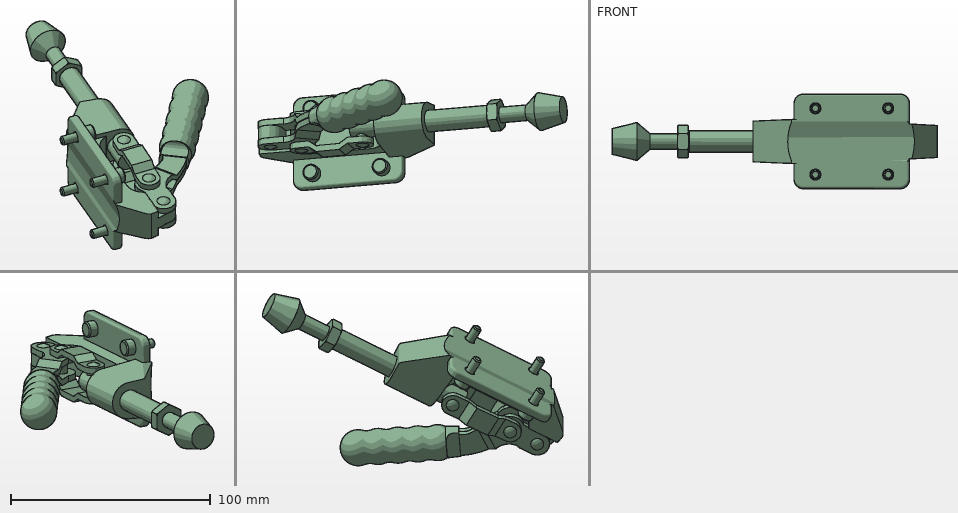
import cadquery as cq
import math


PAD_FACE_RADIUS = 6.5
PAD_RADIUS = 9.6
PAD_RIM_X = 12.4
PAD_END_X = 18.9
STUD_RADIUS = 8.0 / 2
STUD_END_X = 52.0
NUT_START_X = 32.7
NUT_THICKNESS = 5.4
NUT_ACROSS_CORNERS = 16.5
NUT_CORNER_CHAMFER = 0.5
PLUNGER_RADIUS = 10.9 / 2
PLUNGER_START_X = NUT_START_X + NUT_THICKNESS
PLUNGER_CHAMFER = 0.5

PLUNGER_PIVOT = (105.6, 0.0)
LINK_PIVOT = (138.2, -0.8)
FRAME_PIVOT = (154.1, 0.0)
PIN_RADIUS = 3.3
PIN_DOME_HEIGHT = 1.1

PLATE = 3.1
LEVER_GAP = 0.3
LEVER_INNER_Z = LEVER_GAP / 2
FORK_INNER_Z = 3.3
FORK_OUTER_Z = FORK_INNER_Z + PLATE
LINK_EYE_RADIUS = 5.5
LINK_EYE_Z = FORK_OUTER_Z
LINK_MIDDLE_Z = 9.1
LINK_BENDS_X = (112.0, 116.4, 128.5, 132.5)

BASE_Y = -24.5
FLANGE_THICKNESS = 4.5
FLANGE_TOP_Y = BASE_Y + FLANGE_THICKNESS
FLANGE_START_X = 91.0
FLANGE_LENGTH = 58.0
FLANGE_WIDTH = 47.5
FLANGE_CORNER_RADIUS = 4.9
FLANGE_EDGE_RADIUS = 1.1
BOSS_RADIUS = 19.0 / 2
BOSS_SIDE_SLOPE = 0.08
BOSS_FRONT_TOP_X = 71.6
BOSS_FRONT_X = 70.3
BOSS_FRONT_Y = -8.5
BOSS_FRONT_EDGE_RADIUS = 2.0
BOSS_REAR_TOP_X = 96.8
BOSS_REAR_X = 98.1
RAMP_FOOT_X = 89.8
RAMP_FOOT_HALF_WIDTH = 10.9
BEAM_BASE_HALF_WIDTH = 8.8
BEAM_SIDE_SLOPE = 0.058
SHELF_Y = -6.3
SLOT_FLOOR_Y = -12.7
SLOT_END_X = 145.7
SLOT_CORNER_RADIUS = 8.6
CHANNEL_HALF_WIDTH = 10.0
CHANNEL_DEPTH = 1.6

LUG_RADIUS = 6.0
TAIL_SHOULDER = (162.1, SHELF_Y)
TAIL_TIP = (162.8, -10.4)
TAIL_NOSE = (162.3, -12.0)
TAIL_UNDERSIDE = (161.3, -13.3)
TAIL_FOOT_X = 149.5

SCREW_HOLE_RADIUS = 5.5 / 2
SCREW_RADIUS = 4.5 / 2
SCREW_HEAD_RADIUS = 8.0 / 2
SCREW_HEAD_HEIGHT = 4.9
SCREW_HEAD_CHAMFER = 0.7
SCREW_TIP_Y = -32.5
SCREW_TIP_CHAMFER = 0.7
SCREW_MIDDLE_X = FLANGE_START_X + FLANGE_LENGTH / 2
SCREW_SPACING_X = 36.5
SCREW_SPACING_Z = 33.2

GRIP_BALL_CENTRE = (78.6, 48.5)
GRIP_ANGLE = 33.4
GRIP_RADIUS = 9.1
GRIP_RIBS = 4
LAST_RIB_DISTANCE = 40.0
GRIP_PITCH = LAST_RIB_DISTANCE / GRIP_RIBS
GROOVE_WIDTH = 3.7
GROOVE_RADIUS = 8.3
LAST_RIB_HALF_LENGTH = 4.2
LAST_RIB_EDGE_RADIUS = 8.0
GRIP_END = 51.0
GRIP_END_RADIUS = 7.6
GRIP_FLAT_Z = 3.7
GRIP_FLAT_START = 48.3
GRIP_RELIEF_START = 44.5
GRIP_RELIEF_Z = 7.5

SPREAD_ANGLE = -55.0
SPREAD_START = (124.8, 8.6)
SPREAD_LENGTH = 3.9
LEVER_BULGE_RADIUS = 7.2
LEVER_EYE_RADIUS = 6.2

LEVER_START = 47.2
LEVER_UPPER_HALF = 6.5
LEVER_LOWER_HALF = 5.7
LEVER_BACK_ARC = (130.4, 21.3)
LEVER_BACK = (137.4, 12.4)
LEVER_NECK_ARC = (140.6, 7.6)
LEVER_NECK = (145.5, 5.7)
LEVER_FLAT_START_X = 147.6
LEVER_HEEL = (122.0, 13.0)
LEVER_HEEL_ARC = (120.5, 14.5)

FAR = 97.6


def cylinder_x(radius, start, end):
    return cq.Workplane("YZ", origin=(start, 0, 0)).circle(radius).extrude(end - start)


def pin_hole(centre, half_length):
    return cq.Workplane("XY").center(*centre).circle(PIN_RADIUS).extrude(half_length, both=True)


def pivot_pin(centre, half_length):
    """Pin along Z with a shallow dome on each end."""
    top = half_length + PIN_DOME_HEIGHT
    dome_radius = (PIN_RADIUS**2 + PIN_DOME_HEIGHT**2) / (2 * PIN_DOME_HEIGHT)
    half_angle = math.asin(PIN_RADIUS / dome_radius) / 2
    arc_x = dome_radius * math.sin(half_angle)
    arc_z = top - dome_radius * (1 - math.cos(half_angle))
    return (
        cq.Workplane("XZ", origin=(*centre, 0))
        .moveTo(0, -top)
        .threePointArc((arc_x, -arc_z), (PIN_RADIUS, -half_length))
        .lineTo(PIN_RADIUS, half_length)
        .threePointArc((arc_x, arc_z), (0, top))
        .close()
        .revolve(360, (0, 0, 0), (0, 1, 0))
    )


def make_spindle():
    return (
        cq.Workplane("XY")
        .polyline([
            (0, 0),
            (0, PAD_FACE_RADIUS),
            (PAD_RIM_X, PAD_RADIUS),
            (PAD_END_X, STUD_RADIUS),
            (STUD_END_X, STUD_RADIUS),
            (STUD_END_X, 0),
        ])
        .close()
        .revolve(360, (0, 0, 0), (1, 0, 0))
    )


def make_nut():
    end = NUT_START_X + NUT_THICKNESS
    hexagon = (
        cq.Workplane("YZ", origin=(NUT_START_X, 0, 0))
        .transformed(rotate=(0, 0, 90))
        .polygon(6, NUT_ACROSS_CORNERS)
        .extrude(NUT_THICKNESS)
    )
    turned_blank = cylinder_x(NUT_ACROSS_CORNERS / 2, NUT_START_X, end).edges().chamfer(NUT_CORNER_CHAMFER)
    return hexagon.intersect(turned_blank).cut(cylinder_x(STUD_RADIUS, NUT_START_X, end))


def make_plunger():
    pivot_x = PLUNGER_PIVOT[0]
    rod = cylinder_x(PLUNGER_RADIUS, PLUNGER_START_X, pivot_x + PLUNGER_RADIUS)
    rod = rod.faces("<X").chamfer(PLUNGER_CHAMFER)
    stud_hole = cylinder_x(STUD_RADIUS, PLUNGER_START_X, STUD_END_X)
    return rod.cut(stud_hole).cut(pin_hole(PLUNGER_PIVOT, PLUNGER_RADIUS))


def make_screw(x, z):
    head_top = FLANGE_TOP_Y + SCREW_HEAD_HEIGHT
    return (
        cq.Workplane("XY")
        .polyline([
            (0, head_top),
            (SCREW_HEAD_RADIUS - SCREW_HEAD_CHAMFER, head_top),
            (SCREW_HEAD_RADIUS, head_top - SCREW_HEAD_CHAMFER),
            (SCREW_HEAD_RADIUS, FLANGE_TOP_Y),
            (SCREW_RADIUS, FLANGE_TOP_Y),
            (SCREW_RADIUS, SCREW_TIP_Y + SCREW_TIP_CHAMFER),
            (SCREW_RADIUS - SCREW_TIP_CHAMFER, SCREW_TIP_Y),
            (0, SCREW_TIP_Y),
        ])
        .close()
        .revolve(360, (0, 0, 0), (0, 1, 0))
        .translate((x, 0, z))
    )


def screw_places():
    return [
        (SCREW_MIDDLE_X + side_x * SCREW_SPACING_X / 2, side_z * SCREW_SPACING_Z / 2)
        for side_x in (-1, 1)
        for side_z in (-1, 1)
    ]


def make_boss():
    """Nose of the frame: round over the plunger, with drafted sides and a ramp underneath."""
    outline = (
        cq.Workplane("XY")
        .polyline([
            (BOSS_FRONT_TOP_X, BOSS_RADIUS),
            (BOSS_FRONT_X, BOSS_FRONT_Y),
            (RAMP_FOOT_X, BASE_Y),
            (BOSS_REAR_X, BASE_Y),
            (BOSS_REAR_X, FLANGE_TOP_Y),
            (BOSS_REAR_TOP_X, BOSS_RADIUS),
        ])
        .close()
        .extrude(FAR, both=True)
        .edges(cq.selectors.NearestToPointSelector((BOSS_FRONT_X, BOSS_FRONT_Y, 0)))
        .fillet(BOSS_FRONT_EDGE_RADIUS)
    )
    slope_angle = math.atan(BOSS_SIDE_SLOPE)
    tangent_y = BOSS_RADIUS * math.sin(slope_angle)
    tangent_z = BOSS_RADIUS * math.cos(slope_angle)
    base_z = tangent_z + BOSS_SIDE_SLOPE * (tangent_y - BASE_Y)
    section = (
        cq.Workplane("YZ")
        .moveTo(BASE_Y, -base_z)
        .lineTo(tangent_y, -tangent_z)
        .threePointArc((BOSS_RADIUS, 0), (tangent_y, tangent_z))
        .lineTo(BASE_Y, base_z)
        .close()
        .extrude(2 * FAR)
    )
    cheek_cut = make_cheek_cut(tangent_z + BOSS_SIDE_SLOPE * tangent_y)
    return section.intersect(outline).cut(cheek_cut).cut(cheek_cut.mirror("XY"))


def make_cheek_cut(axis_half_width):
    """Cutter that flattens the lower front corner of a boss side, down to the ramp foot."""

    def boss_side_point(x, y):
        return cq.Vector(x, y, axis_half_width - BOSS_SIDE_SLOPE * y)

    front = boss_side_point(BOSS_FRONT_X, BOSS_FRONT_Y)
    rear = boss_side_point(FLANGE_START_X, FLANGE_TOP_Y)
    foot = cq.Vector(RAMP_FOOT_X, BASE_Y, RAMP_FOOT_HALF_WIDTH)
    edge = rear - front
    plane = cq.Plane(origin=front, xDir=edge, normal=(foot - front).cross(edge))
    return cq.Workplane(plane).rect(FAR, FAR).extrude(FAR)


def make_beam():
    """Drafted bar along the base that rises into the tail, with a rounded slot above it."""
    slot_depth = SHELF_Y - SLOT_FLOOR_Y
    corner_run = math.sqrt(SLOT_CORNER_RADIUS**2 - (SLOT_CORNER_RADIUS - slot_depth) ** 2)
    outline = (
        cq.Workplane("XY")
        .moveTo(RAMP_FOOT_X, BASE_Y)
        .lineTo(TAIL_FOOT_X, BASE_Y)
        .lineTo(*TAIL_UNDERSIDE)
        .threePointArc(TAIL_NOSE, TAIL_TIP)
        .lineTo(*TAIL_SHOULDER)
        .lineTo(SLOT_END_X, SHELF_Y)
        .radiusArc((SLOT_END_X - corner_run, SLOT_FLOOR_Y), SLOT_CORNER_RADIUS)
        .lineTo(BOSS_REAR_X + corner_run, SLOT_FLOOR_Y)
        .radiusArc((BOSS_REAR_X, SHELF_Y), SLOT_CORNER_RADIUS)
        .lineTo(RAMP_FOOT_X, SHELF_Y)
        .close()
        .extrude(FAR, both=True)
    )
    shelf_half_width = BEAM_BASE_HALF_WIDTH - BEAM_SIDE_SLOPE * (SHELF_Y - BASE_Y)
    section = (
        cq.Workplane("YZ")
        .polyline([
            (BASE_Y, -BEAM_BASE_HALF_WIDTH),
            (SHELF_Y, -shelf_half_width),
            (SHELF_Y, shelf_half_width),
            (BASE_Y, BEAM_BASE_HALF_WIDTH),
        ])
        .close()
        .extrude(2 * FAR)
    )
    return section.intersect(outline)


def make_lug():
    """Upright tongue of the tail, gripped by the lever fork."""
    x, y = FRAME_PIVOT
    return (
        cq.Workplane("XY")
        .moveTo(x - LUG_RADIUS, SHELF_Y)
        .lineTo(x - LUG_RADIUS, y)
        .threePointArc((x, y + LUG_RADIUS), (x + LUG_RADIUS, y))
        .lineTo(*TAIL_SHOULDER)
        .close()
        .extrude(FORK_INNER_Z, both=True)
    )


def make_flange():
    return (
        cq.Workplane("XZ", origin=(SCREW_MIDDLE_X, FLANGE_TOP_Y, 0))
        .rect(FLANGE_LENGTH, FLANGE_WIDTH)
        .extrude(FLANGE_THICKNESS)
        .edges("|Y")
        .fillet(FLANGE_CORNER_RADIUS)
        .faces("<Y or >Y")
        .edges()
        .fillet(FLANGE_EDGE_RADIUS)
    )


def make_base_channel():
    """Shallow round channel along the underside."""
    return (
        cq.Workplane("YZ")
        .moveTo(BASE_Y, -CHANNEL_HALF_WIDTH)
        .threePointArc((BASE_Y + CHANNEL_DEPTH, 0), (BASE_Y, CHANNEL_HALF_WIDTH))
        .close()
        .extrude(2 * FAR)
    )


def make_frame():
    frame = make_boss().union(make_beam()).union(make_lug()).union(make_flange())
    frame = frame.cut(make_base_channel())
    frame = frame.cut(cylinder_x(PLUNGER_RADIUS, 0, PLUNGER_PIVOT[0]))
    frame = frame.cut(pin_hole(FRAME_PIVOT, FORK_INNER_Z))
    for x, z in screw_places():
        hole = cq.Workplane("XZ", origin=(x, FLANGE_TOP_Y, z)).circle(SCREW_HOLE_RADIUS)
        frame = frame.cut(hole.extrude(FLANGE_THICKNESS))
    return frame


def make_link():
    """Two plates, bowed outwards between their eyes and joined by the two pivot pins."""
    bend_1, bend_2, bend_3, bend_4 = LINK_BENDS_X
    start = PLUNGER_PIVOT[0] - LINK_EYE_RADIUS
    end = LINK_PIVOT[0] + LINK_EYE_RADIUS
    inner = [
        (start, LINK_EYE_Z),
        (bend_1, LINK_EYE_Z),
        (bend_2, LINK_MIDDLE_Z),
        (bend_3, LINK_MIDDLE_Z),
        (bend_4, LINK_EYE_Z),
        (end, LINK_EYE_Z),
    ]
    outer = [(x, z + PLATE) for x, z in reversed(inner)]
    strip = cq.Workplane("XZ").polyline(inner + outer).close().extrude(FAR, both=True)
    length = math.dist(PLUNGER_PIVOT, LINK_PIVOT)
    tilt = math.degrees(math.asin((LINK_PIVOT[1] - PLUNGER_PIVOT[1]) / length))
    outline = (
        cq.Workplane("XY", origin=(*PLUNGER_PIVOT, 0))
        .transformed(rotate=(0, 0, tilt))
        .center(length / 2, 0)
        .slot2D(length + 2 * LINK_EYE_RADIUS, 2 * LINK_EYE_RADIUS)
        .extrude(FAR)
    )
    plate = strip.intersect(outline)
    link = plate.union(plate.mirror("XY"))
    for pivot in (PLUNGER_PIVOT, LINK_PIVOT):
        link = link.union(pivot_pin(pivot, LINK_EYE_Z + PLATE))
    return link


def grip_plane():
    """Plane through the grip axis: local x runs along the grip, from its ball to the lever."""
    angle = math.radians(GRIP_ANGLE)
    return cq.Plane(
        origin=(*GRIP_BALL_CENTRE, 0),
        xDir=(math.cos(angle), -math.sin(angle), 0),
        normal=(0, 0, 1),
    )


def grip_point(along, across):
    point = grip_plane().toWorldCoords((along, across))
    return point.x, point.y


def make_grip():
    ball_end = (GRIP_PITCH - GROOVE_WIDTH) / 2
    edge_radius = math.sqrt(GRIP_RADIUS**2 - ball_end**2)
    half_chord = GRIP_RADIUS * math.sqrt(0.5)
    profile = (
        cq.Workplane(grip_plane())
        .moveTo(-GRIP_RADIUS, 0)
        .threePointArc((-half_chord, half_chord), (ball_end, edge_radius))
    )
    for rib in range(1, GRIP_RIBS + 1):
        crest = rib * GRIP_PITCH
        groove = crest - GRIP_PITCH / 2
        groove_end = groove + GROOVE_WIDTH / 2
        profile = profile.threePointArc((groove, GROOVE_RADIUS), (groove_end, edge_radius))
        if rib < GRIP_RIBS:
            rib_end = (crest + ball_end, edge_radius)
        else:
            rib_end = (crest + LAST_RIB_HALF_LENGTH, LAST_RIB_EDGE_RADIUS)
        profile = profile.threePointArc((crest, GRIP_RADIUS), rib_end)
    grip = (
        profile.lineTo(GRIP_END, GRIP_END_RADIUS)
        .lineTo(GRIP_END, 0)
        .close()
        .revolve(360, (0, 0, 0), (1, 0, 0))
    )
    relief = make_grip_relief()
    return grip.cut(relief).cut(relief.mirror("XY"))


def make_grip_relief():
    """Hollow that thins the end of the grip down to two flats beside the lever."""
    plane = grip_plane()
    side_plane = cq.Plane(origin=plane.origin, xDir=plane.xDir, normal=-plane.yDir)
    run = GRIP_FLAT_START - GRIP_RELIEF_START
    rise = GRIP_RELIEF_Z - GRIP_FLAT_Z
    middle = (
        GRIP_FLAT_START - run * math.sqrt(0.5),
        GRIP_FLAT_Z + rise * (1 - math.sqrt(0.5)),
    )
    return (
        cq.Workplane(side_plane)
        .moveTo(GRIP_END, GRIP_FLAT_Z)
        .lineTo(GRIP_FLAT_START, GRIP_FLAT_Z)
        .threePointArc(middle, (GRIP_RELIEF_START, GRIP_RELIEF_Z))
        .lineTo(GRIP_RELIEF_START, GRIP_RADIUS)
        .lineTo(GRIP_END, GRIP_RADIUS)
        .close()
        .extrude(FAR, both=True)
    )


def make_lever_outline():
    eye_x, eye_y = FRAME_PIVOT
    bulge_x, bulge_y = LINK_PIVOT
    bulge_drop = LEVER_EYE_RADIUS + bulge_y - eye_y
    bulge_run = math.sqrt(LEVER_BULGE_RADIUS**2 - bulge_drop**2)
    return (
        cq.Workplane("XY")
        .moveTo(*grip_point(LEVER_START, LEVER_UPPER_HALF))
        .lineTo(*grip_point(GRIP_END, LEVER_UPPER_HALF))
        .threePointArc(LEVER_BACK_ARC, LEVER_BACK)
        .threePointArc(LEVER_NECK_ARC, LEVER_NECK)
        .lineTo(LEVER_FLAT_START_X, eye_y + LEVER_EYE_RADIUS)
        .lineTo(eye_x, eye_y + LEVER_EYE_RADIUS)
        .threePointArc((eye_x + LEVER_EYE_RADIUS, eye_y), (eye_x, eye_y - LEVER_EYE_RADIUS))
        .lineTo(bulge_x + bulge_run, eye_y - LEVER_EYE_RADIUS)
        .threePointArc((bulge_x, bulge_y - LEVER_BULGE_RADIUS), (bulge_x - LEVER_BULGE_RADIUS, bulge_y))
        .lineTo(*SPREAD_START)
        .lineTo(*LEVER_HEEL)
        .threePointArc(LEVER_HEEL_ARC, grip_point(GRIP_END, -LEVER_LOWER_HALF))
        .lineTo(*grip_point(LEVER_START, -LEVER_LOWER_HALF))
        .close()
        .extrude(FORK_OUTER_Z)
    )


def make_lever_plate():
    """Upper lever plate: bent once, from beside its twin to the outer side of the fork."""
    angle = math.radians(SPREAD_ANGLE)
    along = cq.Vector(math.cos(angle), math.sin(angle), 0)
    bend_plane = cq.Plane(
        origin=(*SPREAD_START, 0),
        xDir=along,
        normal=along.cross(cq.Vector(0, 0, 1)),
    )
    inner = [
        (-FAR, LEVER_INNER_Z),
        (0, LEVER_INNER_Z),
        (SPREAD_LENGTH, FORK_INNER_Z),
        (FAR, FORK_INNER_Z),
    ]
    outer = [(s, z + PLATE) for s, z in reversed(inner)]
    strip = cq.Workplane(bend_plane).polyline(inner + outer).close().extrude(FAR, both=True)
    return strip.intersect(make_lever_outline())


def make_handle():
    plate = make_lever_plate()
    plate = plate.cut(pin_hole(LINK_PIVOT, FORK_OUTER_Z))
    handle = make_grip().union(plate).union(plate.mirror("XY"))
    return handle.union(pivot_pin(FRAME_PIVOT, FORK_OUTER_Z))


spindle = make_spindle()
nut = make_nut()
plunger = make_plunger()
frame = make_frame()
link = make_link()
handle = make_handle()
screws = [make_screw(x, z) for x, z in screw_places()]

bodies = [spindle, nut, plunger, frame, link, handle, *screws]
result = cq.Compound.makeCompound([body.solids().val() for body in bodies])